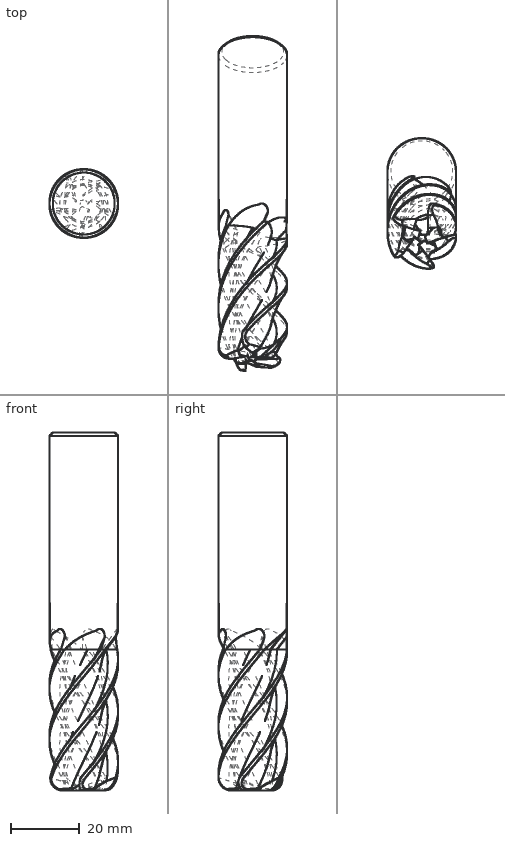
import cadquery as cq
import math

overall_length = 104.0
shank_radius = 10.0
top_chamfer = 1.0
cutter_length = 41.0
neck_radius = 9.9
neck_top = 54.0
neck_taper_height = 0.6

tooth_count = 5
cutter_radius = 10.0
corner_radius = 4.0
helix_angle = 40.0
tooth_pitch = 360.0 / tooth_count
helix_lead = 2 * math.pi * cutter_radius / math.tan(math.radians(helix_angle))
cutter_twist = 360.0 * cutter_length / helix_lead
first_edge_angle = 31.0

land_angle = 8.0
relief_end_radius = 5.8
relief_end_angle = 53.0
relief_bulge = 0.4
root_sag = 0.9
rake_end_radius = 7.0
rake_end_angle = tooth_pitch + 9.0
outside_margin = 2.0

runout_length = 8.0
runout_rise = 0.78
runout_drift = 0.15

gash_offset = 1.9
gash_rake_angle = 17.0
gash_rake = math.tan(math.radians(gash_rake_angle))
gash_start_radius = 1.0
gash_reach = 12.0
gash_root_start = 1.2
gash_root_rise = 0.3
gash_back_slope = 0.5
gash_depth = 8.0

end_relief_width = 5.0
end_relief_height = 1.2
end_relief_start = 3.0

origin = cq.Vector(0, 0, 0)
z_axis = cq.Vector(0, 0, 1)


def polar(radius, angle):
    """Point at a radius and an angle in degrees."""
    return cq.Vector(radius * math.cos(math.radians(angle)), radius * math.sin(math.radians(angle)))


def bulged_middle(start, end, bulge):
    """Middle of an arc that bulges to the right of the line from start to end."""
    chord = end - start
    side = cq.Vector(chord.y, -chord.x).normalized()
    return (start + end) * 0.5 + side * bulge


def flute_walls(tooth):
    """Edges of one flute, from a land to the next cutting edge: relief, rounded root and hooked rake."""
    start_angle = first_edge_angle + tooth_pitch * tooth
    land_end = polar(cutter_radius, start_angle + land_angle)
    relief_end = polar(relief_end_radius, start_angle + relief_end_angle)
    rake_end = polar(rake_end_radius, start_angle + rake_end_angle)
    next_edge = polar(cutter_radius, start_angle + tooth_pitch)
    return [
        cq.Edge.makeThreePointArc(land_end, bulged_middle(land_end, relief_end, relief_bulge), relief_end),
        cq.Edge.makeThreePointArc(relief_end, bulged_middle(relief_end, rake_end, -root_sag), rake_end),
        cq.Edge.makeLine(rake_end, next_edge),
    ]


def land_arc(tooth):
    """Land on the outside of a tooth, behind its cutting edge."""
    start_angle = first_edge_angle + tooth_pitch * tooth
    angles = (start_angle, start_angle + land_angle / 2, start_angle + land_angle)
    return cq.Edge.makeThreePointArc(*[polar(cutter_radius, angle) for angle in angles])


def flute_outline():
    """Closed outline of one flute, carried past the outside of the tool."""
    walls = flute_walls(0)
    land_end = walls[0].startPoint()
    next_edge = walls[-1].endPoint()
    rake_outside = next_edge + (next_edge - walls[-1].startPoint()).normalized() * outside_margin
    land_outside = land_end + land_end.normalized() * outside_margin
    outside_middle = (rake_outside + land_outside).normalized() * land_outside.Length
    return cq.Wire.assembleEdges(
        walls
        + [
            cq.Edge.makeLine(next_edge, rake_outside),
            cq.Edge.makeThreePointArc(rake_outside, outside_middle, land_outside),
            cq.Edge.makeLine(land_outside, land_end),
        ]
    )


def ring_of(solid):
    """Copies of a solid at every tooth."""
    return [solid.rotate(origin, z_axis, tooth_pitch * i) for i in range(tooth_count)]


def straight_sweep(points, direction):
    """Prism of a closed polygon pushed along a slanted direction."""
    outline = cq.Wire.makePolygon(points, close=True)
    return cq.Solid.extrudeLinear(outline, [], direction)


def fluted_bar():
    """Whole tooth section twisted along the cutting part."""
    edges = []
    for tooth in range(tooth_count):
        edges.append(land_arc(tooth))
        edges.extend(flute_walls(tooth))
    section = cq.Wire.assembleEdges(edges)
    return cq.Solid.extrudeLinearWithRotation(
        section, [], origin, cq.Vector(0, 0, cutter_length), cutter_twist
    )


def runout_cutter():
    """Flute section pushed up and outward so that the flute fades out in the neck."""
    root_angle = first_edge_angle + cutter_twist + (relief_end_angle + rake_end_angle) / 2
    outward = polar(runout_rise * runout_length, root_angle)
    along = polar(runout_drift * runout_length, root_angle + 90)
    direction = outward + along + cq.Vector(0, 0, runout_length)
    outline = flute_outline().rotate(origin, z_axis, cutter_twist)
    return cq.Solid.extrudeLinear(outline.translate(cq.Vector(0, 0, cutter_length)), [], direction)


def gash_cutter():
    """Slanted V notch that makes a flat face at the end of a tooth."""
    root = cq.Vector(gash_start_radius, gash_offset + gash_rake * gash_root_start, gash_root_start)
    face_foot = root - cq.Vector(0, gash_rake * gash_depth, gash_depth)
    back_foot = root - cq.Vector(0, gash_depth / gash_back_slope, gash_depth)
    rise = gash_root_rise * gash_reach
    direction = cq.Vector(gash_reach, gash_rake * rise, rise)
    gash = straight_sweep([root, face_foot, back_foot], direction)
    return gash.rotate(origin, z_axis, first_edge_angle)


def end_relief_cutter():
    """Shallow wedge behind an end cutting edge."""
    edge = cq.Vector(end_relief_start, gash_offset, 0)
    back_low = edge + cq.Vector(0, end_relief_width, 0)
    back_high = back_low + cq.Vector(0, 0, end_relief_height)
    wedge = straight_sweep([edge, back_low, back_high], cq.Vector(gash_reach, 0, 0))
    return wedge.rotate(origin, z_axis, first_edge_angle)


def make_shank():
    """Plain shank with a chamfered top, a slightly smaller neck and the flute run-outs."""
    profile = [
        (0, cutter_length),
        (neck_radius, cutter_length),
        (neck_radius, neck_top),
        (shank_radius, neck_top + neck_taper_height),
        (shank_radius, overall_length - top_chamfer),
        (shank_radius - top_chamfer, overall_length),
        (0, overall_length),
    ]
    body = cq.Workplane("XZ").polyline(profile).close().revolve(360, (0, 0), (0, 1))
    for runout in ring_of(runout_cutter()):
        body = body.cut(cq.Workplane(runout))
    return body


def make_cutter():
    """Fluted cutting part with rounded corners and gashed end teeth."""
    body = (
        cq.Workplane("XY")
        .circle(cutter_radius)
        .extrude(cutter_length)
        .faces("<Z")
        .edges()
        .fillet(corner_radius)
    )
    body = body.intersect(cq.Workplane(fluted_bar()))
    for shape in (gash_cutter(), end_relief_cutter()):
        for tool in ring_of(shape):
            body = body.cut(cq.Workplane(tool))
    return body


shank = make_shank()
cutter = make_cutter()
result = cq.Compound.makeCompound([shank.val(), cutter.val()])